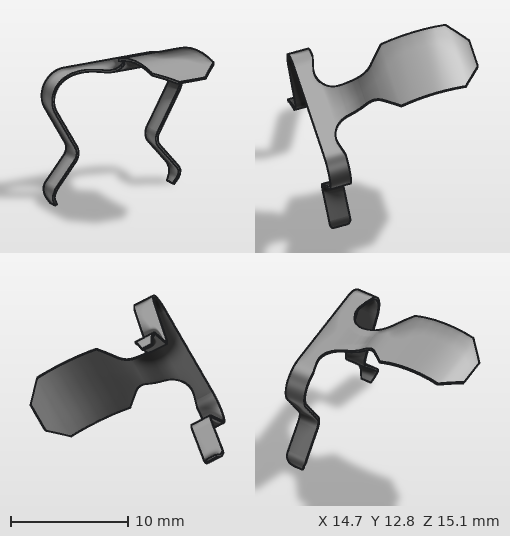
import cadquery as cq
import math

thickness = 0.21
length_x = 14.65
width_y = 12.8
height_z = 15.06

band_width = 1.82
shoulder_radius = 2.18
waist_radius = 1.0
foot_radius = 1.2
upper_leg_length = 3.96
lower_leg_length = 2.71
upper_leg_angle = 30.0
lower_leg_angle = 40.0
flat_half = width_y / 2 - shoulder_radius
foot_taper_height = 1.35
foot_tip_width = 0.89

rise_radius = 4.37
rise_angle = 41.0
crest_radius = 9.19

tongue_half_width = 3.01
tip_half_width = 1.27
tip_chamfer_length = 1.61
flare_end_x = 7.3
flare_angle = 45.0
neck_half_width = 1.27
neck_radius = 1.5

notch_radius = 1.8
notch_center_y = 3.25
notch_floor_x = 1.46
notch_run_out_angle = 15.0
notch_depth = 0.75


def polar(radius, degrees):
    angle = math.radians(degrees)
    return cq.Vector(radius * math.cos(angle), radius * math.sin(angle))


def line(length):
    return ("line", length, 0.0)


def bend(radius, turn):
    """Arc of the reference face; a positive turn is to the left."""
    return ("bend", radius, turn)


def advance(point, heading, segment, fraction=1.0):
    """Position and heading after a fraction of a segment."""
    kind, size, turn = segment
    if kind == "line":
        return point + polar(size * fraction, heading), heading
    side = math.copysign(90.0, turn)
    center = point + polar(size, heading + side)
    new_heading = heading + turn * fraction
    return center - polar(size, new_heading + side), new_heading


def strip(plane, start, segments):
    """Closed profile of sheet whose left face follows the segments from a zero heading."""
    stations = [(cq.Vector(*start), 0.0)]
    middles = []
    for segment in segments:
        middles.append(advance(*stations[-1], segment, 0.5))
        stations.append(advance(*stations[-1], segment))

    def right_face(station):
        point, heading = station
        return (point + polar(thickness, heading - 90)).toTuple()[:2]

    def left_face(station):
        return station[0].toTuple()[:2]

    def trace(profile, segment, middle, end):
        if segment[0] == "line":
            return profile.lineTo(*end)
        return profile.threePointArc(middle, end)

    profile = cq.Workplane(plane).moveTo(*left_face(stations[0]))
    for i, segment in enumerate(segments):
        profile = trace(profile, segment, left_face(middles[i]), left_face(stations[i + 1]))
    profile = profile.lineTo(*right_face(stations[-1]))
    for i in reversed(range(len(segments))):
        profile = trace(profile, segments[i], right_face(middles[i]), right_face(stations[i]))
    return profile.close()


def mirrored(half):
    return half.union(half.mirror("XZ"))


rise_x = band_width + rise_radius * math.sin(math.radians(rise_angle))
crest_x = rise_x + crest_radius * math.sin(math.radians(rise_angle))
crest_z = (rise_radius + crest_radius) * (1 - math.cos(math.radians(rise_angle)))
foot_z = crest_z - height_z
tip_angle = math.degrees(math.asin((length_x - crest_x) / crest_radius))


def make_band():
    bends = [
        line(flat_half),
        bend(shoulder_radius, -(90 + upper_leg_angle)),
        line(upper_leg_length),
        bend(waist_radius, upper_leg_angle + lower_leg_angle),
        line(lower_leg_length),
        bend(foot_radius, -(upper_leg_angle + lower_leg_angle)),
    ]
    point, heading = cq.Vector(0, 0), 0.0
    for segment in bends:
        point, heading = advance(point, heading, segment)
    tail_length = (point.y - foot_z) / math.cos(math.radians(upper_leg_angle))
    half = strip("YZ", (0, 0), bends + [line(tail_length)]).extrude(band_width)

    taper_top = foot_z + foot_taper_height
    tip_inset = (band_width - foot_tip_width) / 2
    silhouette = (
        cq.Workplane("XZ")
        .moveTo(0, 0)
        .lineTo(0, taper_top)
        .lineTo(tip_inset, foot_z)
        .lineTo(band_width - tip_inset, foot_z)
        .lineTo(band_width, taper_top)
        .lineTo(band_width, 0)
        .close()
        .extrude(width_y, both=True)
    )
    return mirrored(half.intersect(silhouette))


flare_offset = tongue_half_width - neck_half_width
flare_tangent = math.tan(math.radians(flare_angle / 2))
neck_center = cq.Vector(
    flare_end_x - flare_offset / math.tan(math.radians(flare_angle)) - neck_radius * flare_tangent,
    neck_half_width + neck_radius,
)
notch_center = cq.Vector(notch_floor_x + notch_radius, notch_center_y)
center_line = neck_center - notch_center
neck_heading = math.degrees(
    math.atan2(center_line.y, center_line.x)
    + math.asin((notch_radius - neck_radius) / center_line.Length)
)


def on_notch(degrees):
    return (notch_center + polar(notch_radius, degrees)).toTuple()[:2]


def on_neck(degrees):
    return (neck_center + polar(neck_radius, degrees)).toTuple()[:2]


notch_edge_angle = 180 + math.degrees(math.acos((notch_center.x - band_width) / notch_radius))
notch_tangent_angle = 270 + neck_heading


def make_notches():
    run_out_start = 180 - notch_run_out_angle
    start_x, start_y = on_notch(run_out_start)
    run_out_y = start_y + (band_width - start_x) / math.tan(math.radians(notch_run_out_angle))
    half = (
        cq.Workplane("XY")
        .moveTo(*on_notch(notch_edge_angle))
        .threePointArc(on_notch(180), on_notch(run_out_start))
        .lineTo(band_width, run_out_y)
        .close()
        .extrude(-notch_depth)
    )
    return mirrored(half)


def make_tongue():
    sheet = strip(
        "XZ",
        (band_width, 0),
        [bend(rise_radius, rise_angle), bend(crest_radius, -(rise_angle + tip_angle))],
    ).extrude(tongue_half_width, both=True)
    neck_end_angle = 270 + flare_angle
    half_outline = (
        cq.Workplane("XY")
        .workplane(offset=foot_z)
        .moveTo(band_width, 0)
        .lineTo(*on_notch(notch_edge_angle))
        .threePointArc(on_notch((notch_edge_angle + notch_tangent_angle) / 2), on_notch(notch_tangent_angle))
        .lineTo(*on_neck(notch_tangent_angle))
        .threePointArc(on_neck((notch_tangent_angle + neck_end_angle) / 2), on_neck(neck_end_angle))
        .lineTo(flare_end_x, tongue_half_width)
        .lineTo(length_x - tip_chamfer_length, tongue_half_width)
        .lineTo(length_x, tip_half_width)
        .lineTo(length_x, 0)
        .close()
        .extrude(2 * height_z)
    )
    return sheet.intersect(mirrored(half_outline))


result = make_band().cut(make_notches()).union(make_tongue())